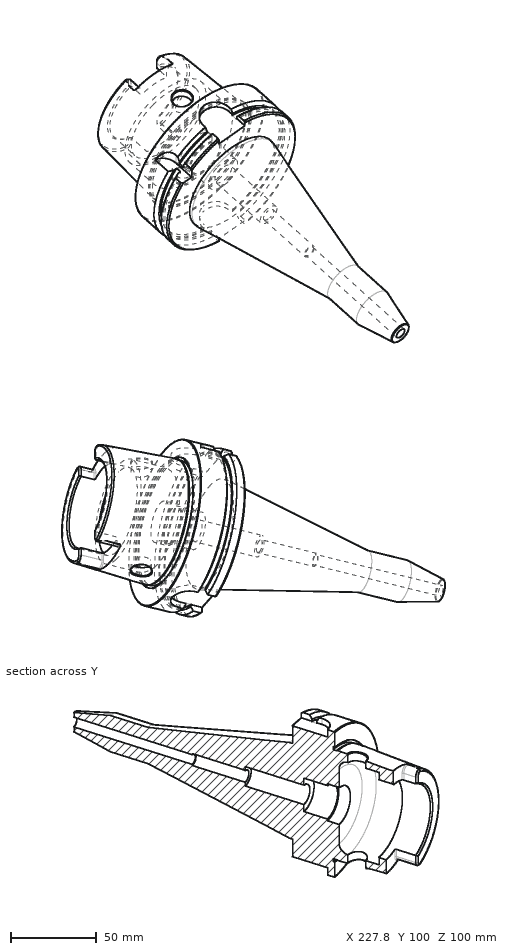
import cadquery as cq
import math


total_length = 227.8
flange_start = 50.0
flange_end = 79.0

taper_large_diameter = 75.8
taper_length = 47.8
taper_rate = 1 / 9.98
taper_small_diameter = taper_large_diameter - taper_length * taper_rate
shank_relief_diameter = 75.16
shank_relief_start = 48.6
end_chamfer = 1.0

undercut_diameter = 78.6
undercut_depth = 1.0

flange_diameter = 100.0
flange_front_chamfer = 0.4
flange_back_chamfer = 0.9
groove_center = 70.0
groove_mouth_width = 6.4
groove_floor_width = 3.4
groove_floor_diameter = 92.0
groove_flank_angle = 30.0
groove_clearance = 1.0

neck_diameter = 66.0
neck_length = 2.0
nose_diameter = 25.25
nose_start = 177.5
nose_end = 203.0
tip_diameter = 13.8
tip_chamfer = 0.4

bore_diameter = 53.0
bore_length = 20.0
recess_diameter = 63.0
recess_end = 47.0
recess_corner_radius = 6.0

seat_diameter = 25.0
seat_depth = 8.0
thread_diameter = 22.6
thread_depth = 24.0
relief_bore_diameter = 13.0
relief_bore_length = 40.0
tool_bore_diameter = 7.87
tool_bore_length = 36.0
through_diameter = 6.35

drive_slot_width = 20.0
upper_drive_slot_depth = 10.0
lower_drive_slot_depth = 15.0
drive_slot_lip_radius = 3.5
drive_slot_clearance = 5.0
drive_slot_floor_fillet = 0.7

access_hole_diameter = 11.99
access_hole_chamfer = 0.5
access_hole_position = 35.0
mouth_search_margin = 1.0

keyway_width = 20.0
keyway_radius = keyway_width / 2
keyway_start = 55.0
keyway_end_center = keyway_start + keyway_radius
keyway_floor_height = 45.0
notch_floor_height = 31.4
notch_wall_distance = 31.4


def cylinder_x(diameter, start, end):
    """Cylinder on the X axis between two axial positions."""
    return cq.Workplane("YZ", origin=(start, 0, 0)).circle(diameter / 2).extrude(end - start)


def make_outer_body():
    """Turned outside shape from the shank end to the tip."""
    flange_radius = flange_diameter / 2
    taper_start_radius = (taper_small_diameter + end_chamfer * taper_rate) / 2
    return (
        cq.Workplane("XY")
        .moveTo(0, 0)
        .lineTo(0, taper_small_diameter / 2 - end_chamfer)
        .lineTo(end_chamfer, taper_start_radius)
        .lineTo(taper_length, taper_large_diameter / 2)
        .lineTo(shank_relief_start, shank_relief_diameter / 2)
        .lineTo(flange_start + undercut_depth, shank_relief_diameter / 2)
        .lineTo(flange_start + undercut_depth, undercut_diameter / 2)
        .lineTo(flange_start, undercut_diameter / 2)
        .lineTo(flange_start, flange_radius - flange_front_chamfer)
        .lineTo(flange_start + flange_front_chamfer, flange_radius)
        .lineTo(flange_end - flange_back_chamfer, flange_radius)
        .lineTo(flange_end, flange_radius - flange_back_chamfer)
        .lineTo(flange_end, neck_diameter / 2)
        .lineTo(flange_end + neck_length, neck_diameter / 2)
        .lineTo(nose_start, nose_diameter / 2)
        .lineTo(nose_end, nose_diameter / 2)
        .lineTo(total_length - tip_chamfer, tip_diameter / 2)
        .lineTo(total_length, tip_diameter / 2 - tip_chamfer)
        .lineTo(total_length, 0)
        .close()
        .revolve(360, (0, 0, 0), (1, 0, 0))
    )


def make_gripper_groove():
    """Ring with V flanks above a narrow straight-sided floor."""
    mouth = groove_mouth_width / 2
    floor = groove_floor_width / 2
    outer = flange_diameter / 2
    flank_foot = outer - (mouth - floor) / math.tan(math.radians(groove_flank_angle))
    outside = outer + groove_clearance
    return (
        cq.Workplane("XY")
        .moveTo(groove_center - floor, groove_floor_diameter / 2)
        .lineTo(groove_center - floor, flank_foot)
        .lineTo(groove_center - mouth, outer)
        .lineTo(groove_center - mouth, outside)
        .lineTo(groove_center + mouth, outside)
        .lineTo(groove_center + mouth, outer)
        .lineTo(groove_center + floor, flank_foot)
        .lineTo(groove_center + floor, groove_floor_diameter / 2)
        .close()
        .revolve(360, (0, 0, 0), (1, 0, 0))
    )


def make_clamping_bore():
    """Chamfered entry bore opening into a wider recess with a rounded floor corner."""
    entry = (
        cq.Workplane("XY")
        .lineTo(0, bore_diameter / 2 + end_chamfer)
        .lineTo(end_chamfer, bore_diameter / 2)
        .lineTo(bore_length, bore_diameter / 2)
        .lineTo(bore_length, 0)
        .close()
        .revolve(360, (0, 0, 0), (1, 0, 0))
    )
    recess = cylinder_x(recess_diameter, bore_length, recess_end)
    recess = recess.faces(">X").edges().fillet(recess_corner_radius)
    return entry.union(recess)


def make_axial_bores():
    """Coolant tube seat, thread bore and the stepped bore out to the tip."""
    seat_end = recess_end + seat_depth
    thread_end = recess_end + thread_depth
    relief_end = thread_end + relief_bore_length
    bores = cylinder_x(seat_diameter, recess_end, seat_end)
    bores = bores.union(cylinder_x(thread_diameter, recess_end, thread_end))
    bores = bores.union(cylinder_x(relief_bore_diameter, recess_end, relief_end))
    bores = bores.union(cylinder_x(through_diameter, recess_end, total_length))
    return bores.union(
        cylinder_x(tool_bore_diameter, relief_end, relief_end + tool_bore_length)
    )


def drive_slot_outline(side, offset):
    """Slot outline whose walls roll outward over round lips, widened by offset."""
    shank_radius = (taper_small_diameter + upper_drive_slot_depth / 2 * taper_rate) / 2
    lip_y = drive_slot_width / 2 + drive_slot_lip_radius
    lip_z = math.sqrt((shank_radius - drive_slot_lip_radius) ** 2 - lip_y ** 2)
    touch_angle = math.atan2(lip_z, lip_y)
    middle_angle = (math.pi + touch_angle) / 2
    arc_radius = drive_slot_lip_radius - offset
    wall_y = lip_y - arc_radius
    middle_y = lip_y + arc_radius * math.cos(middle_angle)
    middle_z = side * (lip_z + arc_radius * math.sin(middle_angle))
    touch_y = lip_y + arc_radius * math.cos(touch_angle)
    touch_z = side * (lip_z + arc_radius * math.sin(touch_angle))
    outside_z = side * (shank_radius + drive_slot_clearance)
    return (
        cq.Workplane("YZ")
        .moveTo(-wall_y, 0)
        .lineTo(wall_y, 0)
        .lineTo(wall_y, side * lip_z)
        .threePointArc((middle_y, middle_z), (touch_y, touch_z))
        .lineTo(touch_y, outside_z)
        .lineTo(-touch_y, outside_z)
        .lineTo(-touch_y, touch_z)
        .threePointArc((-middle_y, middle_z), (-wall_y, side * lip_z))
        .close()
    )


def make_drive_slot(depth, side):
    """Drive slot with a chamfered edge at the shank end; side is +1 or -1 in Z."""
    slot = drive_slot_outline(side, 0).extrude(depth)
    slot = slot.faces(">X").edges().fillet(drive_slot_floor_fillet)
    edge = drive_slot_outline(side, end_chamfer).extrude(end_chamfer, taper=45)
    return slot.union(edge)


def cut_access_holes(shank):
    """Hole pair through the shank wall along Z with chamfered outer mouths."""
    hole = (
        cq.Workplane("XY", origin=(access_hole_position, 0, -flange_diameter / 2))
        .circle(access_hole_diameter / 2)
        .extrude(flange_diameter)
    )
    drilled = shank.cut(hole)
    margin = mouth_search_margin
    reach = access_hole_diameter + margin
    mouth_height = taper_small_diameter / 2
    for side in (1, -1):
        mouth = cq.selectors.BoxSelector(
            (access_hole_position - reach, -reach, side * (mouth_height - margin)),
            (access_hole_position + reach, reach, side * (mouth_height + 2 * margin)),
        )
        drilled = drilled.edges(mouth).chamfer(access_hole_chamfer)
    return drilled


def make_keyway(side):
    """Round-ended keyway open to the back of the flange; side is +1 or -1 in Z."""
    height = flange_diameter / 2 - keyway_floor_height
    length = flange_end - keyway_end_center
    bottom = keyway_floor_height if side > 0 else -flange_diameter / 2
    plane = cq.Workplane("XY", origin=(keyway_end_center, 0, bottom))
    return plane.circle(keyway_radius).extrude(height).union(
        plane.rect(length, keyway_width).extrude(height).translate((length / 2, 0, 0))
    )


def make_notch():
    """L-shaped notch with an upright round end on the -Y, +Z flange shoulder."""
    size = flange_diameter / 2
    center_y = -notch_wall_distance - keyway_radius
    plane = cq.Workplane("XY", origin=(0, 0, notch_floor_height))
    straight = (
        plane.moveTo(keyway_end_center, -notch_wall_distance)
        .lineTo(flange_end, -notch_wall_distance)
        .lineTo(flange_end, -size)
        .lineTo(keyway_end_center, -size)
        .close()
        .extrude(size)
    )
    round_end = plane.center(keyway_end_center, center_y).circle(keyway_radius).extrude(size)
    return straight.union(round_end)


body = make_outer_body()
body = body.cut(make_gripper_groove())
body = body.cut(make_clamping_bore())
body = body.cut(make_axial_bores())
body = body.cut(make_drive_slot(upper_drive_slot_depth, 1))
body = body.cut(make_drive_slot(lower_drive_slot_depth, -1))
body = cut_access_holes(body)
body = body.cut(make_keyway(1))
body = body.cut(make_keyway(-1))
body = body.cut(make_notch())

result = body